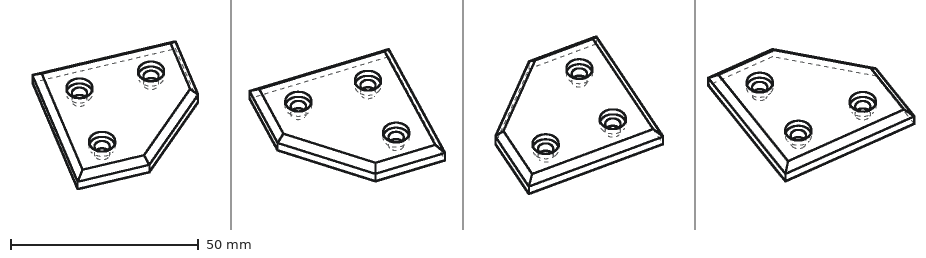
import cadquery as cq

side = 40.0
thickness = 5.0
corner_cut = side / 2
bevel = 2.0

hole_diameter = 4.1
counterbore_diameter = 7.0
counterbore_depth = 2.0
hole_inset = side / 4
hole_far = side - hole_inset
hole_centers = [
    (hole_inset, hole_inset),
    (hole_far, hole_inset),
    (hole_inset, hole_far),
]

outline = [
    (0, 0),
    (side, 0),
    (side, side - corner_cut),
    (side - corner_cut, side),
    (0, side),
]
plate = cq.Workplane("XY").polyline(outline).close().extrude(thickness)

plate = plate.faces(">Z").edges().chamfer(bevel)

result = (
    plate.faces(">Z")
    .workplane(origin=(0, 0, thickness))
    .pushPoints(hole_centers)
    .cboreHole(hole_diameter, counterbore_diameter, counterbore_depth)
)